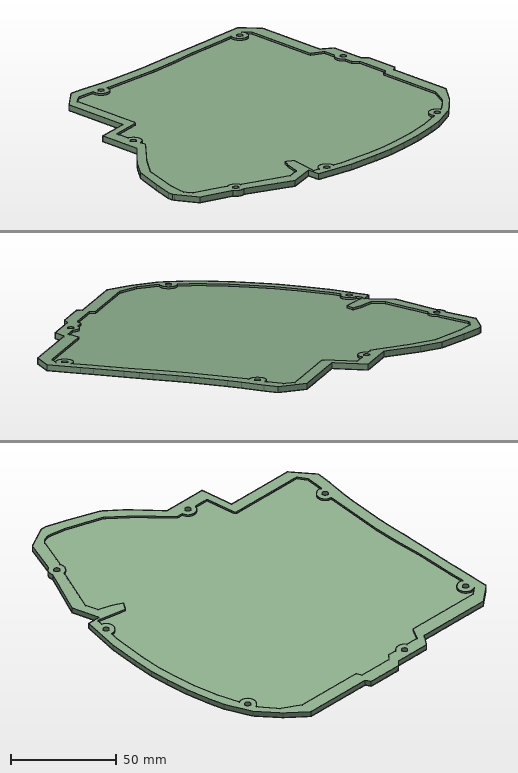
import cadquery as cq

WIDTH = 161.31
LENGTH = 190.28
THICKNESS = 3.0
RECESS_DEPTH = 1.0
FLOOR_HEIGHT = THICKNESS - RECESS_DEPTH

SCREW_HOLE_DIAMETER = 3.0
SCREW_LAND_DIAMETER = 8.5

TOP_SIDE_Y = 187.7
UPPER_LEFT_SIDE_Y = 181.8
NOTCH_Y = 67.4
LOWER_LEFT_SIDE_Y = 47.2
LOWER_STEP_Y = 30.1
WAIST_X = 3.9

RECESS_TOP_Y = 181.1
RECESS_UPPER_LEFT_Y = 174.6
RECESS_LOWER_LEFT_Y = 53.1
RECESS_STEP_Y = 36.7
RECESS_WAIST_X = 9.8

PLATE_TOP = [
    (0, 174.0),
    (9.0, UPPER_LEFT_SIDE_Y),
    (47.1, UPPER_LEFT_SIDE_Y),
    (50.9, TOP_SIDE_Y),
    (68.9, TOP_SIDE_Y),
    (71.5, LENGTH),
    (89.0, LENGTH),
    (90.5, TOP_SIDE_Y),
]
PLATE_RIGHT_BOW = [
    (125.5, TOP_SIDE_Y),
    (135.9, 179.4),
    (145.6, 168.9),
    (152.2, 155.8),
    (154.7, 147.8),
    (157.8, 135.7),
    (159.7, 124.2),
    (161.0, 114.1),
    (WIDTH, 103.0),
    (161.2, 87.3),
    (158.7, NOTCH_Y),
]
PLATE_LOWER_RIGHT = [
    (152.0, NOTCH_Y),
    (156.7, 53.5),
    (144.6, 23.9),
    (139.3, 6.5),
]
PLATE_BOTTOM = [
    (128.4, 0.4),
    (127.4, 0),
    (124.8, 0),
    (113.3, 3.5),
    (97.4, 9.0),
    (87.8, 16.5),
    (74.1, LOWER_STEP_Y),
    (51.4, LOWER_STEP_Y),
    (48.1, LOWER_LEFT_SIDE_Y),
    (12.1, LOWER_LEFT_SIDE_Y),
]
PLATE_LEFT = [
    (2.4, 58.4),
    (2.6, 65.4),
    (3.6, 77.2),
    (WAIST_X, 84.4),
    (WAIST_X, 102.7),
    (3.6, 109.8),
    (2.8, 121.6),
    (2.5, 128.1),
    (2.1, 136.0),
    (1.4, 151.0),
    (0.9, 157.5),
]
PLATE_OUTLINE = PLATE_TOP + PLATE_RIGHT_BOW + PLATE_LOWER_RIGHT + PLATE_BOTTOM + PLATE_LEFT

RECESS_TOP = [
    (5.0, 171.1),
    (9.1, RECESS_UPPER_LEFT_Y),
    (47.8, RECESS_UPPER_LEFT_Y),
    (50.9, RECESS_TOP_Y),
    (69.3, RECESS_TOP_Y),
    (71.7, 183.8),
    (89.0, 183.8),
    (90.3, RECESS_TOP_Y),
]
RECESS_RIGHT_BOW = [
    (125.0, RECESS_TOP_Y),
    (134.7, 176.0),
    (141.4, 168.3),
    (145.7, 159.2),
    (149.9, 148.1),
    (153.2, 135.7),
    (155.2, 123.9),
    (156.5, 114.1),
    (156.9, 103.0),
    (156.5, 84.7),
]
RECESS_AROUND_TONGUE = [
    (154.0, 68.7),
    (138.5, 71.4),
    (136.1, 67.4),
    (140.8, 65.1),
    (148.4, 62.8),
    (150.7, 56.3),
]
RECESS_BOTTOM = [
    (141.8, 31.8),
    (138.4, 24.6),
    (133.1, 8.2),
    (131.6, 6.9),
    (129.1, 5.9),
    (126.7, 6.0),
    (118.9, 7.3),
    (99.8, 13.3),
    (88.2, 22.6),
    (73.5, RECESS_STEP_Y),
    (54.3, RECESS_STEP_Y),
    (51.2, 52.4),
    (50.4, RECESS_LOWER_LEFT_Y),
    (11.6, RECESS_LOWER_LEFT_Y),
]
RECESS_LEFT = [
    (8.4, 57.6),
    (8.4, 65.7),
    (RECESS_WAIST_X, 76.2),
    (RECESS_WAIST_X, 107.6),
    (8.8, 121.9),
    (7.4, 134.3),
    (6.8, 145.1),
    (6.2, 156.6),
]
RECESS_OUTLINE = RECESS_TOP + RECESS_RIGHT_BOW + RECESS_AROUND_TONGUE + RECESS_BOTTOM + RECESS_LEFT

SCREW_CENTERS = [
    (61.2, 183.4),
    (143.7, 163.1),
    (155.5, 76.2),
    (142.7, 27.5),
    (66.0, 36.0),
    (9.8, 71.3),
    (7.5, 167.7),
]


def prism(outline, bottom, height):
    """Straight-sided block on a closed outline, standing on the level `bottom`."""
    return cq.Workplane("XY").workplane(offset=bottom).polyline(outline).close().extrude(height)


def screw_cylinders(diameter):
    """Full-height cylinders at all the screw positions."""
    return cq.Workplane("XY").pushPoints(SCREW_CENTERS).circle(diameter / 2).extrude(THICKNESS)


plate = prism(PLATE_OUTLINE, 0, THICKNESS)
recess = prism(RECESS_OUTLINE, FLOOR_HEIGHT, RECESS_DEPTH)

result = plate.cut(recess).union(screw_cylinders(SCREW_LAND_DIAMETER))
result = result.cut(screw_cylinders(SCREW_HOLE_DIAMETER))